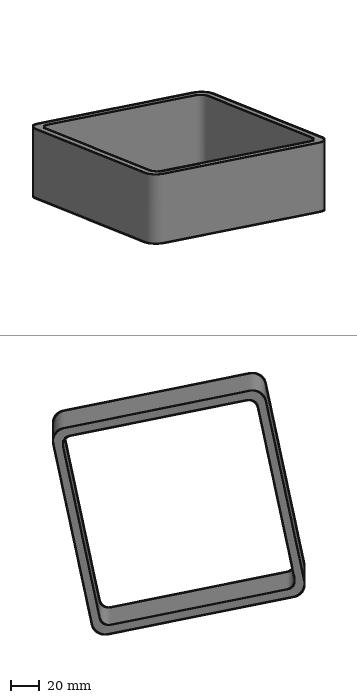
import cadquery as cq

side = 150.0
length = 50.0
wall = 6.3

outer_radius = 1.5 * wall
inner_radius = 1.0 * wall


def rounded_square_bar(width, corner_radius):
    """Square bar centred on the Z axis with rounded vertical edges."""
    bar = cq.Workplane("XY").rect(width, width).extrude(length)
    return bar.edges("|Z").fillet(corner_radius)


outer_body = rounded_square_bar(side, outer_radius)
bore = rounded_square_bar(side - 2 * wall, inner_radius)

result = outer_body.cut(bore)